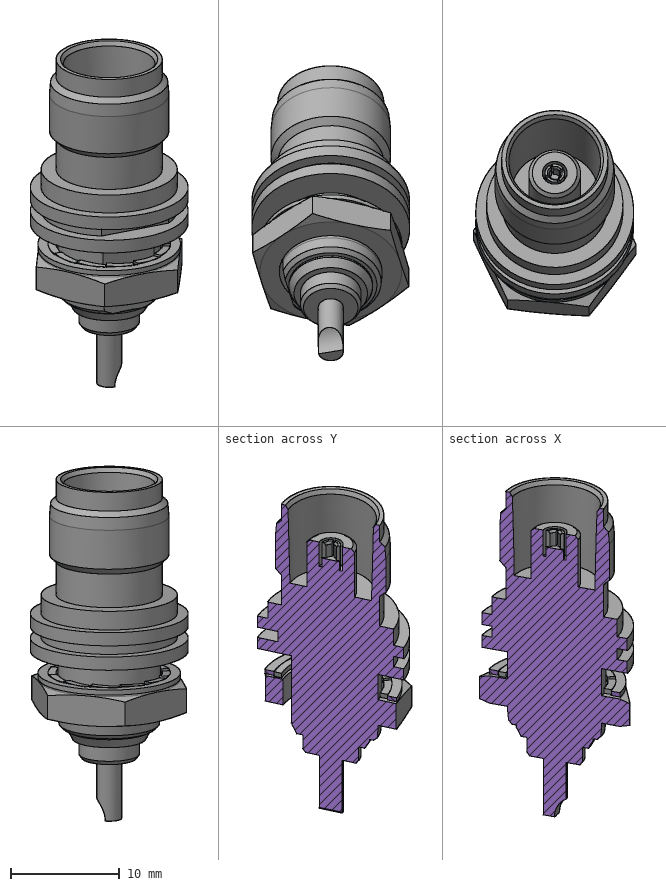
import cadquery as cq
import math


TOTAL_HEIGHT = 32.1
PIN_RADIUS = 1.15

COLLAR_RADIUS = 2.8
COLLAR_BOTTOM = 5.7
COLLAR_CHAMFER_RADIAL = 0.3
COLLAR_CHAMFER_HEIGHT = 0.4

CONE_BOTTOM = 7.55
CONE_TOP = 8.4
CONE_BOTTOM_RADIUS = 3.37
CONE_TOP_RADIUS = 3.85

THREAD_BOTTOM = 8.6
THREAD_BOTTOM_RADIUS = 4.25
THREAD_LEAD_TOP = 9.0
THREAD_LEAD_RADIUS = 4.62
THREAD_TAPER_TOP = 10.05
THREAD_RADIUS = 4.72
THREAD_FLAT = 3.92

FLANGE_RADIUS = 7.25
FLANGE_THICKNESS = 1.25
FLANGE_BOTTOM = 15.85
FLANGE_GAP = 1.05
SHOULDER_RADIUS = 6.25
SHOULDER_TOP = 21.2
GROOVE_FLAT = 5.23

BARREL_RADIUS = 4.88
HEAD_RADIUS = 5.5
HEAD_BOTTOM = 24.35
HEAD_TAPER_BOTTOM = 28.65
HEAD_TAPER_TOP = 29.85
HEAD_TAPER_RADIUS = 5.4
HEAD_TOP = 30.35

SCOOP_RADIUS = 2.35

SOCKET_MOUTH_RADIUS = 4.45
SOCKET_RADIUS = 4.2
SOCKET_FLOOR_RADIUS = 4.0
SOCKET_MOUTH_DEPTH = 0.42
SOCKET_DEPTH = 8.35
INSULATOR_RADIUS = 2.38
INSULATOR_TOP_RADIUS = 2.05
INSULATOR_CHAMFER_HEIGHT = 0.32
INSULATOR_DEPTH = 3.2
CONTACT_GAP_RADIUS = 1.12
CONTACT_RADIUS = 0.9
CONTACT_RECESS = 0.05
CONTACT_LENGTH = 2.57
CONTACT_HOLE_RADIUS = 0.5
CONTACT_MOUTH_RADIUS = 0.67
CONTACT_MOUTH_DEPTH = 0.25
CONTACT_SLOT_WIDTH = 0.2
CONTACT_SLOT_DEPTH = 1.6
CONTACT_SLOTS = 4

NUT_BOTTOM = 10.35
NUT_HEIGHT = 2.82
NUT_CORNER_RADIUS = 7.5
NUT_CHAMFER_HEIGHT = 0.3

WASHER_BOTTOM = 13.32
WASHER_THICKNESS = 0.48
WASHER_RADIUS = 6.55
TOOTH_ROOT_RADIUS = 5.62
TOOTH_TIP_RADIUS = 4.88
TOOTH_COUNT = 12
TOOTH_SPAN = 29.0
TOOTH_TWIST = 4.0


def revolved(outline):
    """Turn a closed (radius, height) outline around Z."""
    return cq.Workplane("XZ").polyline(outline).close().revolve(360, (0, 0, 0), (0, 1, 0))


def cylinder(radius, bottom, height):
    return cq.Workplane("XY").workplane(offset=bottom).circle(radius).extrude(height)


def beyond_flat(distance, bottom, top):
    """Block that holds everything past a +X flat between two heights."""
    size = 2 * FLANGE_RADIUS
    block = cq.Workplane("XY").box(size, size, top - bottom, centered=(False, True, False))
    return block.translate((distance, 0, bottom))


def jack_blank():
    """Solid turned shape of the jack, before the flats, scoop and socket."""
    lower_flange_top = FLANGE_BOTTOM + FLANGE_THICKNESS
    upper_flange_bottom = lower_flange_top + FLANGE_GAP
    upper_flange_top = upper_flange_bottom + FLANGE_THICKNESS

    stem = revolved([
        (0, 0),
        (PIN_RADIUS, 0),
        (PIN_RADIUS, COLLAR_BOTTOM),
        (COLLAR_RADIUS - COLLAR_CHAMFER_RADIAL, COLLAR_BOTTOM),
        (COLLAR_RADIUS, COLLAR_BOTTOM + COLLAR_CHAMFER_HEIGHT),
        (COLLAR_RADIUS, CONE_BOTTOM),
        (CONE_BOTTOM_RADIUS, CONE_BOTTOM),
        (CONE_TOP_RADIUS, CONE_TOP),
        (CONE_TOP_RADIUS, THREAD_BOTTOM),
        (0, THREAD_BOTTOM),
    ])
    thread = revolved([
        (0, THREAD_BOTTOM),
        (THREAD_BOTTOM_RADIUS, THREAD_BOTTOM),
        (THREAD_LEAD_RADIUS, THREAD_LEAD_TOP),
        (THREAD_RADIUS, THREAD_TAPER_TOP),
        (THREAD_RADIUS, FLANGE_BOTTOM),
        (0, FLANGE_BOTTOM),
    ]).cut(beyond_flat(THREAD_FLAT, THREAD_BOTTOM, FLANGE_BOTTOM))
    lower_flange = cylinder(FLANGE_RADIUS, FLANGE_BOTTOM, FLANGE_THICKNESS)
    groove = cylinder(SHOULDER_RADIUS, lower_flange_top, FLANGE_GAP)
    groove = groove.cut(beyond_flat(GROOVE_FLAT, lower_flange_top, upper_flange_bottom))
    upper = revolved([
        (0, upper_flange_bottom),
        (FLANGE_RADIUS, upper_flange_bottom),
        (FLANGE_RADIUS, upper_flange_top),
        (SHOULDER_RADIUS, upper_flange_top),
        (SHOULDER_RADIUS, SHOULDER_TOP),
        (BARREL_RADIUS, SHOULDER_TOP),
        (BARREL_RADIUS, HEAD_BOTTOM),
        (HEAD_RADIUS, HEAD_BOTTOM + HEAD_RADIUS - BARREL_RADIUS),
        (HEAD_RADIUS, HEAD_TAPER_BOTTOM),
        (HEAD_TAPER_RADIUS, HEAD_TAPER_TOP),
        (BARREL_RADIUS, HEAD_TOP),
        (BARREL_RADIUS, TOTAL_HEIGHT),
        (0, TOTAL_HEIGHT),
    ])
    return stem.union(thread).union(lower_flange).union(groove).union(upper)


def pin_scoop():
    """Horizontal cylinder along X that hollows the +Y side of the pin tip."""
    scoop = cq.Workplane("YZ").center(SCOOP_RADIUS, 0).circle(SCOOP_RADIUS)
    return scoop.extrude(PIN_RADIUS, both=True)


def socket_cavity():
    """Open space of the socket around the insulator."""
    floor = TOTAL_HEIGHT - SOCKET_DEPTH
    insulator_top = TOTAL_HEIGHT - INSULATOR_DEPTH
    return revolved([
        (INSULATOR_RADIUS, floor),
        (SOCKET_FLOOR_RADIUS, floor),
        (SOCKET_RADIUS, TOTAL_HEIGHT - SOCKET_MOUTH_DEPTH),
        (SOCKET_MOUTH_RADIUS, TOTAL_HEIGHT),
        (0, TOTAL_HEIGHT),
        (0, insulator_top),
        (INSULATOR_TOP_RADIUS, insulator_top),
        (INSULATOR_RADIUS, insulator_top - INSULATOR_CHAMFER_HEIGHT),
    ])


def centre_contact(tip):
    """Tubular contact with a countersunk mouth and crossed slots."""
    contact = cylinder(CONTACT_RADIUS, tip - CONTACT_LENGTH, CONTACT_LENGTH)
    mouth_bottom = tip - CONTACT_MOUTH_DEPTH
    contact = contact.cut(revolved([
        (0, tip - CONTACT_SLOT_DEPTH),
        (CONTACT_HOLE_RADIUS, tip - CONTACT_SLOT_DEPTH),
        (CONTACT_HOLE_RADIUS, mouth_bottom),
        (CONTACT_MOUTH_RADIUS, tip),
        (0, tip),
    ]))
    slot = cq.Workplane("XY").box(
        CONTACT_RADIUS, CONTACT_SLOT_WIDTH, CONTACT_SLOT_DEPTH, centered=(False, True, False)
    ).translate((0, 0, tip - CONTACT_SLOT_DEPTH))
    for index in range(CONTACT_SLOTS):
        contact = contact.cut(slot.rotate((0, 0, 0), (0, 0, 1), index * 360 / CONTACT_SLOTS))
    return contact


def hex_nut():
    """Nut with conical chamfers on both faces and a plain round bore."""
    flat_radius = NUT_CORNER_RADIUS * math.cos(math.pi / 6)
    top = NUT_BOTTOM + NUT_HEIGHT
    hexagon = (
        cq.Workplane("XY").workplane(offset=NUT_BOTTOM)
        .polygon(6, 2 * NUT_CORNER_RADIUS).extrude(NUT_HEIGHT)
        .rotate((0, 0, 0), (0, 0, 1), 90)
    )
    chamfer_envelope = revolved([
        (THREAD_RADIUS, NUT_BOTTOM),
        (flat_radius, NUT_BOTTOM),
        (NUT_CORNER_RADIUS, NUT_BOTTOM + NUT_CHAMFER_HEIGHT),
        (NUT_CORNER_RADIUS, top - NUT_CHAMFER_HEIGHT),
        (flat_radius, top),
        (THREAD_RADIUS, top),
    ])
    return hexagon.intersect(chamfer_envelope)


def jack():
    """Jack body with its insulator, centre contact and nut."""
    insulator_top = TOTAL_HEIGHT - INSULATOR_DEPTH
    contact_tip = insulator_top - CONTACT_RECESS
    contact_base = contact_tip - CONTACT_LENGTH
    contact_gap = cylinder(CONTACT_GAP_RADIUS, contact_base, insulator_top - contact_base)
    return (
        jack_blank()
        .cut(pin_scoop())
        .cut(socket_cavity())
        .cut(contact_gap)
        .union(centre_contact(contact_tip))
        .union(hex_nut())
    )


def washer_tooth():
    """One tooth on +X: a slab tilted about its radial centre line, trimmed to an annular sector."""
    half_span = math.radians(TOOTH_SPAN / 2)
    reach = 2 * TOOTH_ROOT_RADIUS
    slab = cq.Workplane("XY").box(reach, reach, WASHER_THICKNESS)
    slab = slab.rotate((0, 0, 0), (1, 0, 0), -TOOTH_TWIST)

    def at(radius, angle):
        return (radius * math.cos(angle), radius * math.sin(angle))

    sector = (
        cq.Workplane("XY")
        .moveTo(*at(TOOTH_TIP_RADIUS, -half_span))
        .lineTo(*at(TOOTH_ROOT_RADIUS, -half_span))
        .threePointArc((TOOTH_ROOT_RADIUS, 0), at(TOOTH_ROOT_RADIUS, half_span))
        .lineTo(*at(TOOTH_TIP_RADIUS, half_span))
        .threePointArc((TOOTH_TIP_RADIUS, 0), at(TOOTH_TIP_RADIUS, -half_span))
        .close()
        .extrude(WASHER_THICKNESS, both=True)
    )
    return slab.intersect(sector).translate((0, 0, WASHER_BOTTOM + WASHER_THICKNESS / 2))


def lock_washer():
    """Flat ring with a circle of twisted teeth on its inside."""
    washer = cylinder(WASHER_RADIUS, WASHER_BOTTOM, WASHER_THICKNESS)
    washer = washer.cut(cylinder(TOOTH_ROOT_RADIUS, WASHER_BOTTOM, WASHER_THICKNESS))
    tooth = washer_tooth()
    pitch = 360 / TOOTH_COUNT
    for index in range(TOOTH_COUNT):
        washer = washer.union(tooth.rotate((0, 0, 0), (0, 0, 1), (index + 0.5) * pitch))
    return washer


result = cq.Compound.makeCompound([jack().val(), lock_washer().val()])